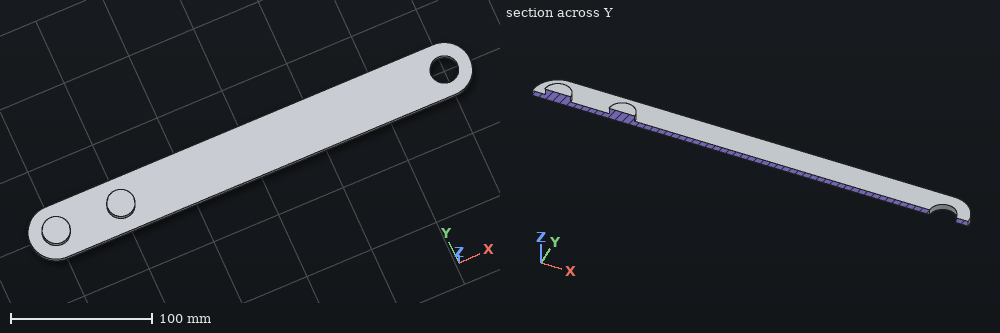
import cadquery as cq

length = 340.0
width = 40.0
total_height = 10.0
pin_spacing = 50.0

plate_thickness = total_height / 2
pin_height = total_height - plate_thickness
pin_diameter = width / 2
hole_diameter = pin_diameter
end_center_x = (length - width) / 2


def make_plate():
    """Flat bar with full-round ends, its bottom face on Z = 0."""
    return cq.Workplane("XY").slot2D(length, width).extrude(plate_thickness)


def make_pin(x):
    """Round pin standing on the plate's top face."""
    return (
        cq.Workplane("XY", origin=(x, 0, plate_thickness))
        .circle(pin_diameter / 2)
        .extrude(pin_height)
    )


def make_hole_cutter():
    """Cylinder through the plate, concentric with the +X end."""
    return (
        cq.Workplane("XY", origin=(end_center_x, 0, 0))
        .circle(hole_diameter / 2)
        .extrude(plate_thickness)
    )


result = make_plate().cut(make_hole_cutter())

for pin_x in (-end_center_x, -end_center_x + pin_spacing):
    result = result.union(make_pin(pin_x))